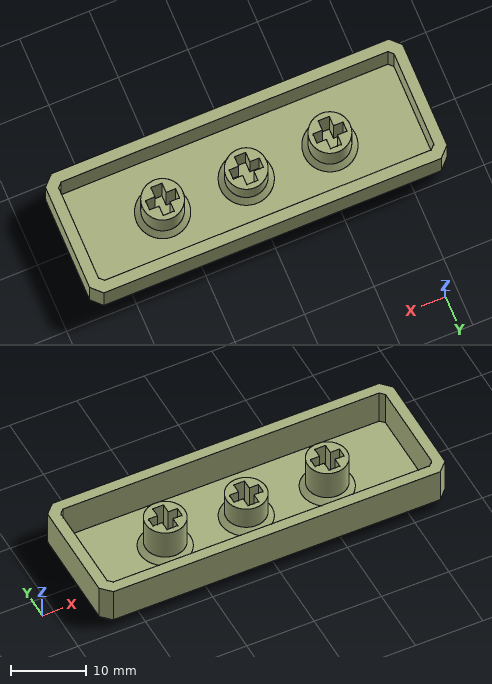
import cadquery as cq

length = 51.4
width = 18.05
height = 6.9
outer_chamfer = 1.45
wall = 1.6
floor = 1.45
inner_chamfer = 0.6

post_spacing = 12.0
post_diameter = 5.8
outer_post_top = 6.9
middle_post_top = 5.75
flare = 0.8

cross_length_x = 4.3
cross_length_y = 4.2
cross_arm_x = 1.4
cross_arm_y = 1.6


def make_tray():
    """Open-topped box with every outer edge chamfered except the rim."""
    shell = cq.Workplane("XY").box(length, width, height, centered=(True, True, False))
    shell = shell.edges("|Z or <Z").chamfer(outer_chamfer)
    cavity = (
        cq.Workplane("XY", origin=(0, 0, floor))
        .rect(length - 2 * wall, width - 2 * wall)
        .extrude(height - floor)
        .edges("|Z")
        .chamfer(inner_chamfer)
    )
    return shell.cut(cavity)


def make_post(x, top):
    """Flared post standing on the floor, revolved about its own axis."""
    radius = post_diameter / 2
    return (
        cq.Workplane("XZ", origin=(x, 0, 0))
        .moveTo(0, floor)
        .lineTo(radius + flare, floor)
        .lineTo(radius, floor + flare)
        .lineTo(radius, top)
        .lineTo(0, top)
        .close()
        .revolve(360, (0, 0, 0), (0, 1, 0))
    )


def make_socket(x, top):
    """Cross-shaped hole from the post top down to the tray floor."""
    base = cq.Workplane("XY", origin=(x, 0, floor))
    depth = top - floor
    arm_x = base.rect(cross_length_x, cross_arm_x).extrude(depth)
    arm_y = base.rect(cross_arm_y, cross_length_y).extrude(depth)
    return arm_x.union(arm_y)


result = make_tray()
for x, top in (
    (-post_spacing, outer_post_top),
    (0, middle_post_top),
    (post_spacing, outer_post_top),
):
    result = result.union(make_post(x, top)).cut(make_socket(x, top))